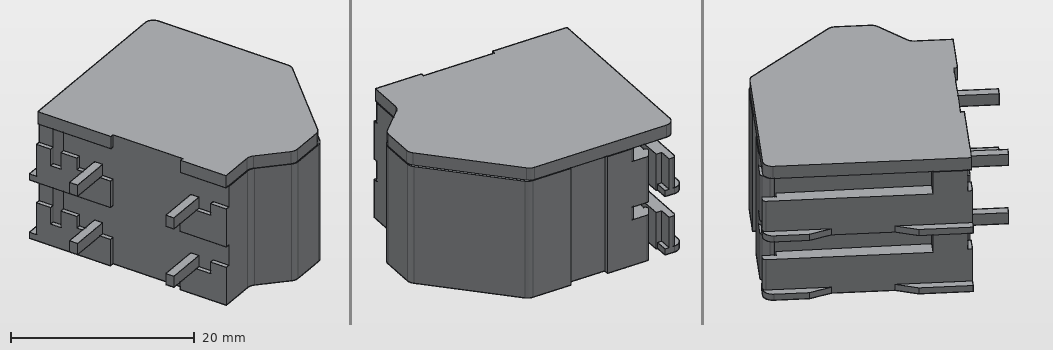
import cadquery as cq
import math


width = 29.1
depth = 22.95
pole_count = 2
pole_height = 7.5
lid_thickness = 1.57

body_left = 0.93
foot_right = 25.5
foot_height = 4.8
bevel_start_x = 19.6
corner_diameter = 2.3
corner_radius = corner_diameter / 2
edge_radius = 0.38

flange_thickness = 0.8
ramp_length = 2.5
front_flange_length = 5.97
back_flange_length = 5.03

recess_depth = 0.52
recess_left = 10.5
recess_right = 19.53
pad_height = 4.9
pad_shelf_height = 3.4
left_shelf_x = 6.17
right_shelf_x = 23.45

pin_width = 1.05
pin_thickness = 1.43
pin_length = 4.55
pin_root = 2 * recess_depth
pin_lefts = (8.12, 20.57)

slot_left = 2.75
slot_left_back = 2.5
slot_right = 4.1
web_height = 2.75
hook_top = 5.88
hook_nose_radius = 0.32
ledge_tilt = math.radians(20)
ledge_flat = 0.15
hook_y = depth - 1.57
hook_slope = math.radians(29)
upper_slope_start = depth - 5.8
upper_slope = math.radians(20.6)
rail_top = 4.69
rail_start_y = 4.35
rail_foot_x = 2.33
rail_tip_x = 1.8

back_recess = (9.63, 14.25)
back_recess_depth = 0.58

lid_inset = 0.102
lid_bevel_shift = 0.4

overshoot = 1.45


def box(x_range, y_range, z_range):
    """Axis-aligned block between the given limits."""
    size = [end - start for start, end in (x_range, y_range, z_range)]
    corner = (x_range[0], y_range[0], z_range[0])
    return cq.Workplane("XY").box(*size, centered=False).translate(corner)


def prism(points, bottom, top):
    """Vertical prism over a closed outline."""
    return cq.Workplane("XY").workplane(offset=bottom).polyline(points).close().extrude(top - bottom)


def fillet_at(solid, x, y, z_range, radius):
    """Round the vertical edge standing at (x, y) within a height range."""
    reach = 0.015
    low = (x - reach, y - reach, z_range[0] - reach)
    high = (x + reach, y + reach, z_range[1] + reach)
    edges = solid.edges("|Z").edges(cq.selectors.BoxSelector(low, high))
    return edges.fillet(radius)


def housing(inset, bevel_shift, left_radius, height):
    """Housing plate, with the outline moved inward and the long bevel moved further."""
    left = body_left + inset
    right = width - inset
    foot = foot_right - inset
    back = depth - inset
    bevel_x = bevel_start_x - bevel_shift + inset
    bevel_y = back - (right - bevel_x)
    nose_y = foot_height + (right - foot)
    plate = prism(
        [(left, inset), (foot, inset), (foot, foot_height), (right, nose_y),
         (right, bevel_y), (bevel_x, back), (left, back)], 0, height)
    for x, y in ((foot, foot_height), (right, nose_y), (right, bevel_y), (bevel_x, back)):
        plate = fillet_at(plate, x, y, (0, height), corner_radius)
    return fillet_at(plate, left, back, (0, height), left_radius)


def flange():
    """Side flange in two parts, with the middle of the side left free."""
    front_root = body_left + edge_radius
    front_ramp_end = front_flange_length + ramp_length
    front = prism(
        [(0, 0), (front_root, 0), (front_root, front_ramp_end),
         (body_left, front_ramp_end), (0, front_flange_length)], 0, flange_thickness)
    back_root = corner_diameter
    back_start = depth - back_flange_length
    back_ramp_end = back_start - ramp_length
    back = prism(
        [(0, back_start), (body_left, back_ramp_end), (back_root, back_ramp_end),
         (back_root, depth), (0, depth)], 0, flange_thickness)
    back = fillet_at(back, 0, depth, (0, flange_thickness), corner_radius)
    return front.union(back)


def pad_clearance():
    """Space in front of the recessed face: the middle and the areas above the pads."""
    front_band = (-overshoot, recess_depth)
    middle = box((recess_left, recess_right), front_band, (0, pole_height))
    shelves = box((left_shelf_x, right_shelf_x), front_band, (pad_shelf_height, pole_height))
    top = box((-overshoot, width), front_band, (pad_height, pole_height))
    return middle.union(shelves).union(top)


def slot_outline(right_side):
    """Slot outline: tapered rail side, step at the rail foot, then the given right-hand side."""
    return [(slot_left, recess_depth), (slot_left_back, hook_y), (rail_foot_x, hook_y),
            (rail_foot_x, depth + overshoot), *right_side, (slot_right, recess_depth)]


def cut_slot(pole):
    """Lever slot with a latch hook low on its right side and a flare above the hook."""
    turn = math.pi / 2 - ledge_tilt + hook_slope
    ledge = hook_nose_radius * math.tan(turn / 2) + ledge_flat
    hook_tip = slot_right - ledge * math.cos(ledge_tilt)
    hook_tip_y = hook_y + ledge * math.sin(ledge_tilt)
    hook_back = hook_tip + (depth - hook_tip_y) * math.tan(hook_slope)
    flare_back = slot_right + (depth - upper_slope_start) * math.tan(upper_slope)
    lower = [(hook_back, depth + overshoot), (hook_back, depth),
             (hook_tip, hook_tip_y), (slot_right, hook_y)]
    upper = [(flare_back, depth + overshoot), (flare_back, depth), (slot_right, upper_slope_start)]
    pole = pole.cut(prism(slot_outline(lower), 0, hook_top))
    pole = pole.cut(prism(slot_outline(upper), hook_top, pole_height))
    hook_range = (0, hook_top)
    pole = fillet_at(pole, hook_tip, hook_tip_y, hook_range, hook_nose_radius)
    pole = fillet_at(pole, hook_back, depth, hook_range, edge_radius)
    pole = fillet_at(pole, flare_back, depth, (hook_top, pole_height), edge_radius)
    rail_space = box((-overshoot, slot_left), (rail_start_y, depth + overshoot), (rail_top, pole_height))
    tip_notch = box((rail_tip_x, slot_left), (hook_y, depth + overshoot), (flange_thickness, pole_height))
    front_opening = box((slot_left, slot_right), (-overshoot, recess_depth), (web_height, pole_height))
    return pole.cut(rail_space).cut(tip_notch).cut(front_opening)


def make_pole():
    """One pole with its flange, pads, lever slot, back recess and pins."""
    pole = housing(0, 0, edge_radius, pole_height).union(flange())
    pole = pole.cut(pad_clearance())
    pole = cut_slot(pole)
    pole = pole.cut(box(back_recess, (depth - back_recess_depth, depth + overshoot), (0, pole_height)))
    for left in pin_lefts:
        pin = box((left, left + pin_width), (-pin_length, pin_root),
                  (pad_shelf_height, pad_shelf_height + pin_thickness))
        pole = pole.union(pin)
    return pole


def make_lid():
    """Lid plate whose front follows the recessed face between the pads."""
    lid = housing(lid_inset, lid_bevel_shift, corner_radius - lid_inset, lid_thickness)
    return lid.cut(box((recess_left, recess_right), (0, recess_depth), (0, lid_thickness)))


result = make_lid().translate((0, 0, pole_count * pole_height))
pole = make_pole()
for level in range(pole_count):
    result = result.union(pole.translate((0, 0, level * pole_height)))